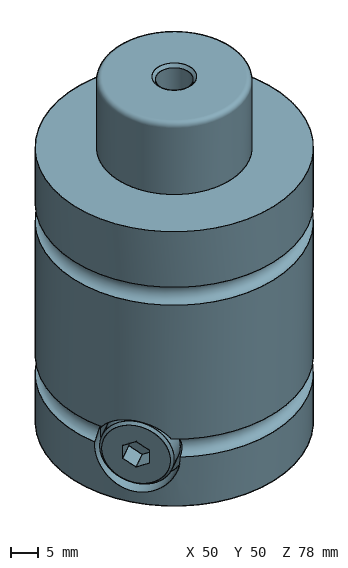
import cadquery as cq
import math

total_height = 78
body_diameter = 50.0
body_height = 62.0
rod_diameter = 28.0
rod_edge_radius = 1.0

groove_radius = 2.0
groove_heights = (13.1, 47.4)

hole_diameter = 6.8
hole_mouth_diameter = 8.0
hole_depth = 15.6
drill_tip_angle = 118

plug_height = 10.5
recess_diameter = 16.0
recess_floor_distance = 20.0
plug_diameter = 14.0
plug_face_distance = 24.4
plug_chamfer = 0.55
hex_across_flats = 5.0
hex_depth = 3.9

body_radius = body_diameter / 2


def disc_on_side(diameter, inner_distance, outer_distance):
    """Cylinder along -Y at the plug height, between two distances from the body axis."""
    return (
        cq.Workplane("XZ", origin=(0, -inner_distance, plug_height))
        .circle(diameter / 2)
        .extrude(outer_distance - inner_distance)
    )


def make_body():
    body = cq.Workplane("XY").circle(body_radius).extrude(body_height)
    rod = (
        cq.Workplane("XY", origin=(0, 0, body_height))
        .circle(rod_diameter / 2)
        .extrude(total_height - body_height)
        .faces(">Z")
        .edges()
        .fillet(rod_edge_radius)
    )
    return body.union(rod)


def make_groove(height):
    return cq.Workplane("XY").add(
        cq.Solid.makeTorus(body_radius, groove_radius, cq.Vector(0, 0, height))
    )


def make_rod_hole():
    """Drilled hole with a 45 degree mouth chamfer and a conical tip."""
    radius = hole_diameter / 2
    mouth_radius = hole_mouth_diameter / 2
    cylinder_bottom = total_height - hole_depth
    tip_length = radius / math.tan(math.radians(drill_tip_angle / 2))
    return (
        cq.Workplane("XZ")
        .moveTo(0, total_height)
        .lineTo(mouth_radius, total_height)
        .lineTo(radius, total_height - (mouth_radius - radius))
        .lineTo(radius, cylinder_bottom)
        .lineTo(0, cylinder_bottom - tip_length)
        .close()
        .revolve(360, (0, 0), (0, 1))
    )


def make_plug():
    plug = disc_on_side(plug_diameter, recess_floor_distance, plug_face_distance)
    plug = plug.faces("<Y").edges().chamfer(plug_chamfer)
    hex_corner_diameter = hex_across_flats / math.cos(math.radians(30))
    socket = (
        cq.Workplane("XZ", origin=(0, -plug_face_distance, plug_height))
        .transformed(rotate=(0, 0, 90))
        .polygon(6, hex_corner_diameter)
        .extrude(-hex_depth)
    )
    return plug.cut(socket)


result = make_body()
for groove_height in groove_heights:
    result = result.cut(make_groove(groove_height))
result = result.cut(make_rod_hole())
result = result.cut(disc_on_side(recess_diameter, recess_floor_distance, body_radius))
result = result.union(make_plug())